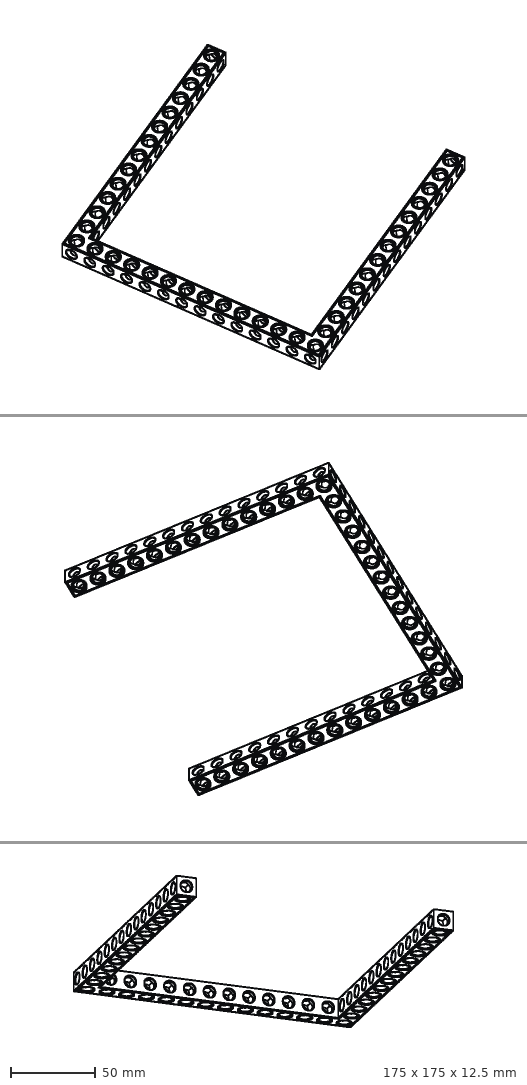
import cadquery as cq
frame_size = 175.0
holes_per_side = 14
hole_diameter = 7.0
recess_diameter = 9.3
step_inset = 1.0
step_depth = 0.2
edge_chamfer = 0.23
mouth_chamfer = 0.4

pitch = frame_size / holes_per_side
bar_width = pitch
half_size = frame_size / 2
half_height = bar_width / 2
hole_radius = hole_diameter / 2
opening_width = frame_size - 2 * bar_width
opening_half = opening_width / 2
bar_line = half_size - bar_width / 2

hole_positions = [-bar_line + pitch * index for index in range(holes_per_side)]
leg_positions = hole_positions[1:]
inner_positions = hole_positions[1:-1]
vertical_places = [(x, -bar_line) for x in hole_positions]
vertical_places += [(x, y) for x in (-bar_line, bar_line) for y in leg_positions]


def u_plate(inset, height):
    """U-shaped plate open toward +Y, with all its sides moved inward by the inset."""
    outer_width = frame_size - 2 * inset
    outer = cq.Workplane("XY").box(outer_width, outer_width, height)
    opening = cq.Workplane("XY").box(opening_width + 2 * inset, frame_size, height)
    return outer.cut(opening.translate((0, bar_width - inset, 0)))


def vertical_hole_cutter():
    """Turned cutter for a hole along Z with a chamfered mouth inside a shallow ring at both faces."""
    recess_radius = recess_diameter / 2
    recess_floor = half_height - step_depth
    upper_profile = [
        (hole_radius, recess_floor - mouth_chamfer),
        (hole_radius + mouth_chamfer, recess_floor),
        (recess_radius, recess_floor),
        (recess_radius, half_height),
        (0, half_height),
    ]
    lower_profile = [(radius, -z) for radius, z in reversed(upper_profile)]
    return cq.Workplane("XZ").polyline(lower_profile + upper_profile).close().revolve(360, (0, 0), (0, 1)).val()


def cross_holes(plane):
    """Row of holes along the normal of the plane, running through the whole frame."""
    places = [(position, 0) for position in hole_positions]
    return cq.Workplane(plane).pushPoints(places).circle(hole_radius).extrude(half_size, both=True)


def mouth_cone(point, inward):
    """Cone that chamfers the mouth of a cross hole, starting at a side face and pointing into the bar."""
    mouth_radius = hole_radius + mouth_chamfer
    return cq.Solid.makeCone(mouth_radius, hole_radius, mouth_chamfer, cq.Vector(*point), cq.Vector(*inward))


body = u_plate(0, bar_width - 2 * step_depth).faces("|Z").edges().chamfer(edge_chamfer)
body = body.union(u_plate(step_inset, bar_width))

vertical_cutter = vertical_hole_cutter()
vertical_holes = cq.Workplane("XY").pushPoints(vertical_places)
body = body.cut(vertical_holes.eachpoint(lambda place: vertical_cutter.moved(place)))
body = body.cut(cross_holes("XZ")).cut(cross_holes("YZ"))

mouths = []
for x in hole_positions:
    mouths.append(mouth_cone((x, -half_size, 0), (0, 1, 0)))
for x in inner_positions:
    mouths.append(mouth_cone((x, bar_width - half_size, 0), (0, -1, 0)))
for side in (-1, 1):
    mouths.append(mouth_cone((side * bar_line, half_size, 0), (0, -1, 0)))
    for y in hole_positions:
        mouths.append(mouth_cone((side * half_size, y, 0), (-side, 0, 0)))
    for y in leg_positions:
        mouths.append(mouth_cone((side * opening_half, y, 0), (side, 0, 0)))

result = cq.Workplane(body.val().cut(*mouths).Solids()[0])